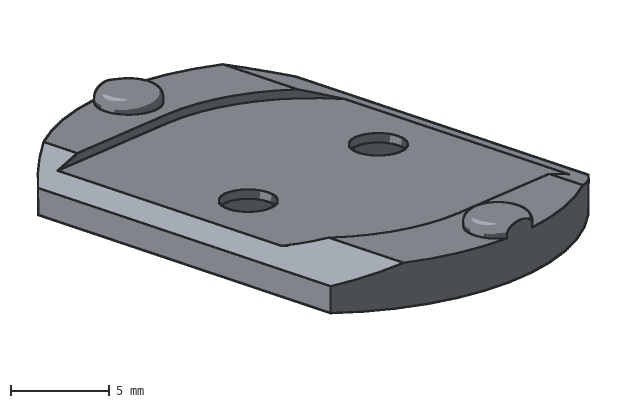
import cadquery as cq
import math

disc_radius = 14.0
half_width = disc_radius / math.sqrt(2)
plate_height = 2.45
flat_height = 1.48
shoulder_y = 6.9

recess_radius = half_width
recess_half_width = 8.4
shoulder_slope = (plate_height - flat_height) / (half_width - shoulder_y)
floor_height = plate_height - shoulder_slope * (recess_half_width - shoulder_y)

hole_diameter = 3.0
hole_spacing = 10.0
countersink_diameter = 6.0
countersink_depth = 1.45

total_height = 3.2
pin_radius = 1.75
pin_x = 12.5
pin_rounding = 0.5


def make_disc(height):
    return cq.Workplane("XY").circle(disc_radius).extrude(height)


def make_plate():
    profile = (
        cq.Workplane("YZ")
        .moveTo(-half_width, 0)
        .lineTo(half_width, 0)
        .lineTo(half_width, flat_height)
        .lineTo(shoulder_y, plate_height)
        .lineTo(-shoulder_y, plate_height)
        .lineTo(-half_width, flat_height)
        .close()
        .extrude(disc_radius, both=True)
    )
    return make_disc(plate_height).intersect(profile)


def make_recess():
    arc_end_x = math.sqrt(recess_radius**2 - recess_half_width**2)
    mid_angle = math.asin(recess_half_width / recess_radius) / 2
    mid_x = recess_radius * math.cos(mid_angle)
    mid_y = recess_radius * math.sin(mid_angle)
    return (
        cq.Workplane("XY", origin=(0, 0, floor_height))
        .moveTo(-recess_radius, 0)
        .threePointArc((-mid_x, mid_y), (-arc_end_x, recess_half_width))
        .lineTo(recess_radius, recess_half_width)
        .lineTo(recess_radius, 0)
        .threePointArc((mid_x, -mid_y), (arc_end_x, -recess_half_width))
        .lineTo(-recess_radius, -recess_half_width)
        .close()
        .extrude(total_height)
    )


def make_holes():
    holes = (
        cq.Workplane("XY")
        .rarray(0.28, hole_spacing, 1, 2)
        .circle(hole_diameter / 2)
        .extrude(total_height)
    )
    countersink = cq.Workplane(
        cq.Solid.makeCone(countersink_diameter / 2, hole_diameter / 2, countersink_depth)
    )
    for side in (-1, 1):
        holes = holes.union(countersink.translate((0, side * hole_spacing / 2, 0)))
    return holes


def make_pin():
    corner_x = (disc_radius**2 + pin_x**2 - pin_radius**2) / (2 * pin_x)
    corner_angle = math.acos((corner_x - pin_x) / pin_radius)
    corner_y = pin_radius * math.sin(corner_angle)
    tip_x = pin_x + pin_radius / math.cos(corner_angle)
    pin = (
        cq.Workplane("XY")
        .moveTo(corner_x, corner_y)
        .threePointArc((pin_x - pin_radius, 0), (corner_x, -corner_y))
        .lineTo(tip_x, 0)
        .close()
        .extrude(total_height)
        .faces(">Z")
        .edges()
        .fillet(pin_rounding)
    )
    return pin.intersect(make_disc(total_height))


def make_pins():
    pin = make_pin()
    return pin.union(pin.mirror("YZ"))


result = make_plate().cut(make_recess()).union(make_pins()).cut(make_holes())